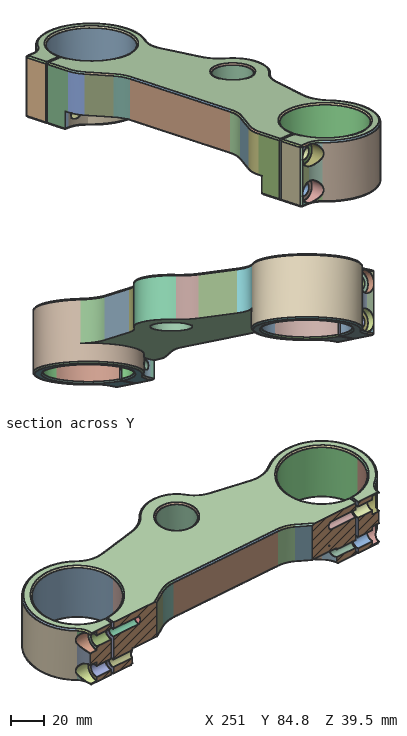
import cadquery as cq
import math

length = 251.0
height = 39.5
web_bottom = 12.0
chamfer = 1.0

ring_radius = 66.0 / 2
fork_bore_radius = 54.0 / 2
fork_x = length / 2 - ring_radius
front_y = -40.5
slit_width = 1.5

outer_ear_offset = 16.8
outer_ear_fillet = 10.0
inner_ear_offset = 14.8
inner_ear_fillet = 14.3

boss_radius = 22.3
stem_bore_radius = 12.5
boss_y = 22.0

web_front_y = -25.3
web_fillet = 20.0
front_slope = math.radians(31.5)
front_bend_x = 45.2
back_slope = math.radians(12)
back_edge_x = 43.2
back_edge_y = 25.3

bolt_edge_distance = 8.0
bolt_y = front_y + bolt_edge_distance
bolt_heights = (bolt_edge_distance, height - bolt_edge_distance)
clearance_radius = 4.3
thread_radius = 3.0
spotface_radius = 7.0
spotface_depth = 5.0
upper_thread_length = 20.0
drill_tip_half_angle = math.radians(59)


def polar(center, radius, angle):
    """Point on a circle at an angle from +X."""
    return (center[0] + radius * math.cos(angle), center[1] + radius * math.sin(angle))


def between(center, radius, start, end):
    """Point on a circle halfway between two angles."""
    return polar(center, radius, (start + end) / 2)


def ear_profile(side, offset, fillet):
    """Ear from the fork axis out to its flat side, blended into the ring; side is -1 or +1."""
    fillet_x = offset + fillet
    fillet_y = -math.sqrt((ring_radius + fillet) ** 2 - fillet_x ** 2)
    center = (fillet_x, fillet_y)
    ring_angle = math.atan2(-fillet_y, -fillet_x)
    points = [
        polar(center, fillet, ring_angle),
        between(center, fillet, ring_angle, math.pi),
        (offset, fillet_y),
    ]
    ring_end, middle, flat_end = [(side * x, y) for x, y in points]
    return (
        cq.Workplane("XY").moveTo(0, 0).lineTo(*ring_end).threePointArc(middle, flat_end)
        .lineTo(side * offset, front_y).lineTo(0, front_y).close().extrude(height)
    )


def clamp():
    """Left fork clamp without its bore."""
    ring = cq.Workplane("XY").circle(ring_radius).extrude(height)
    outer_ear = ear_profile(-1, outer_ear_offset, outer_ear_fillet)
    inner_ear = ear_profile(1, inner_ear_offset, inner_ear_fillet)
    return ring.union(outer_ear).union(inner_ear).translate((-fork_x, 0, 0))


def back_fillet_center(circle_center, circle_radius, side):
    """Center of the blend tangent to a circle and to the left sloping back edge.

    side is +1 for the blend to the right of the circle and -1 for the one to its left.
    """
    along = (math.cos(back_slope), math.sin(back_slope))
    normal = (-along[1], along[0])
    start = (-back_edge_x + web_fillet * normal[0], back_edge_y + web_fillet * normal[1])
    to_circle = (circle_center[0] - start[0], circle_center[1] - start[1])
    foot = to_circle[0] * along[0] + to_circle[1] * along[1]
    gap = to_circle[0] * normal[0] + to_circle[1] * normal[1]
    distance = foot + side * math.sqrt((circle_radius + web_fillet) ** 2 - gap ** 2)
    return (start[0] + distance * along[0], start[1] + distance * along[1])


def web_half():
    """Left half of the web, up to the fork axis."""
    fork = (-fork_x, 0)
    boss = (0, boss_y)
    up = math.pi / 2
    down = -up

    tangent = web_fillet * math.tan(front_slope / 2)
    drop = web_front_y - front_y
    outer_bend_x = front_bend_x + drop / math.tan(front_slope)
    inner_center = (-front_bend_x + tangent, web_front_y - web_fillet)
    outer_center = (-outer_bend_x - tangent, front_y + web_fillet)

    ring_blend = back_fillet_center(fork, ring_radius, 1)
    boss_blend = back_fillet_center(boss, boss_radius, -1)
    edge_angle = down + back_slope
    ring_angle = math.atan2(fork[1] - ring_blend[1], fork[0] - ring_blend[0])
    boss_angle = math.atan2(boss[1] - boss_blend[1], boss[0] - boss_blend[0])
    boss_side = boss_angle + math.pi

    return (
        cq.Workplane("XY").workplane(offset=web_bottom)
        .moveTo(0, web_front_y)
        .lineTo(inner_center[0], web_front_y)
        .threePointArc(
            between(inner_center, web_fillet, up, up + front_slope),
            polar(inner_center, web_fillet, up + front_slope),
        )
        .lineTo(*polar(outer_center, web_fillet, down + front_slope))
        .threePointArc(
            between(outer_center, web_fillet, down + front_slope, down),
            (outer_center[0], front_y),
        )
        .lineTo(-fork_x, front_y)
        .lineTo(*fork)
        .lineTo(*polar(ring_blend, web_fillet, ring_angle))
        .threePointArc(
            between(ring_blend, web_fillet, ring_angle, edge_angle),
            polar(ring_blend, web_fillet, edge_angle),
        )
        .lineTo(*polar(boss_blend, web_fillet, edge_angle))
        .threePointArc(
            between(boss_blend, web_fillet, edge_angle, boss_angle),
            polar(boss_blend, web_fillet, boss_angle),
        )
        .threePointArc(between(boss, boss_radius, boss_side, up), (0, boss_y + boss_radius))
        .close()
        .extrude(height - web_bottom)
    )


def rod(radius, start_x, end_x, z):
    """Cylinder along X on a bolt axis."""
    return (
        cq.Workplane("YZ", origin=(start_x, bolt_y, z)).circle(radius).extrude(end_x - start_x)
    )


def drill_tip(start_x, z):
    """Cone at the blind end of a thread hole."""
    tip_length = thread_radius / math.tan(drill_tip_half_angle)
    return cq.Workplane(
        cq.Solid.makeCone(
            thread_radius, 0, tip_length, cq.Vector(start_x, bolt_y, z), cq.Vector(1, 0, 0)
        )
    )


def bolt_cutter(z, thread_length):
    """Spotface, clearance hole and thread hole for one bolt of the left clamp."""
    ear_x = -fork_x - outer_ear_offset
    spotface = rod(spotface_radius, -length / 2, ear_x + spotface_depth, z)
    clearance = rod(clearance_radius, -length / 2, -fork_x, z)
    thread = rod(thread_radius, -fork_x, -fork_x + thread_length, z)
    return spotface.union(clearance).union(thread)


def clamp_cutter():
    """Slit and both bolt holes of the left clamp."""
    slit = (
        cq.Workplane("XY").center(-fork_x, front_y / 2)
        .rect(slit_width, -front_y).extrude(height)
    )
    lower_z, upper_z = bolt_heights
    lower = bolt_cutter(lower_z, ring_radius)
    upper = bolt_cutter(upper_z, upper_thread_length)
    upper = upper.union(drill_tip(-fork_x + upper_thread_length, upper_z))
    return slit.union(lower).union(upper)


half = clamp().union(web_half())
body = half.union(half.mirror("YZ")).clean()
for x, y, radius in (
    (-fork_x, 0, fork_bore_radius),
    (fork_x, 0, fork_bore_radius),
    (0, boss_y, stem_bore_radius),
):
    body = body.cut(cq.Workplane("XY").center(x, y).circle(radius).extrude(height))

ear_corner_x = fork_x + outer_ear_offset
for x in (-ear_corner_x, ear_corner_x):
    corner = cq.selectors.NearestToPointSelector((x, front_y, height / 2))
    body = body.edges(corner).chamfer(chamfer)
body = body.faces(">Z or <Z").edges().chamfer(chamfer)

left_cutter = clamp_cutter()
result = body.cut(left_cutter).cut(left_cutter.mirror("YZ"))